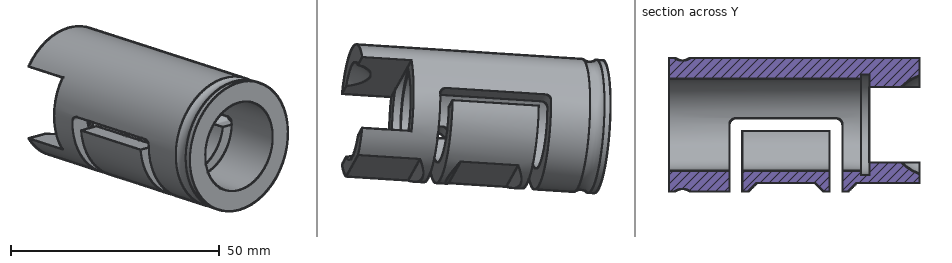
import cadquery as cq
import math

length = 60.0
outer_radius = 16.0
bore_radius = 11.0
counterbore_radius = 12.0
counterbore_end = 14.0

fork_length = 12.0
fork_half_gap = 9.0

hollow_mouth_radius = 11.75
hollow_depth = 4.4

window_start = 18.5
window_end = 45.5
slot_width = 3.0
slot_top = 1.5
web_length = 13.0

flat_z = -14.0
lip_flat_end = 15.1
saddle_flat_length = 14.0

groove_start = 55.0
groove_end = 58.5
groove_depth = 0.6

window_middle = (window_start + window_end) / 2
slot_bottom = slot_top - slot_width
slot_round_radius = slot_width / 2

margin = 1.0


def box(x_start, x_end, y_half, z_low, z_high):
    """Box between the given limits, symmetric about Y = 0."""
    size = (x_end - x_start, 2 * y_half, z_high - z_low)
    return cq.Workplane("XY").box(*size, centered=(False, True, False)).translate((x_start, 0, z_low))


def rod(radius, x_start, x_end):
    """Cylinder on the X axis, turned so that its seam line lies at the bottom."""
    cylinder = cq.Workplane("YZ", origin=(x_start, 0, 0)).circle(radius).extrude(x_end - x_start)
    return cylinder.rotate((0, 0, 0), (1, 0, 0), -90)


def lip_hollow():
    """Ball on the X axis that gives the hollow its mouth radius and its depth on the lip faces."""
    half_chord_squared = hollow_mouth_radius**2 - fork_half_gap**2
    center_x = (hollow_depth**2 - half_chord_squared) / (2 * hollow_depth)
    ball = cq.Workplane("XY").sphere(math.hypot(hollow_mouth_radius, center_x))
    return ball.translate((center_x, 0, 0))


def fork_end():
    """Two solid lips above and below the gap, hollowed at the mouth."""
    gap = box(-margin, fork_length, outer_radius + margin, -fork_half_gap, fork_half_gap)
    return rod(outer_radius, 0, fork_length).cut(gap).cut(lip_hollow())


def sleeve():
    """Tube with a wider bore just behind the fork."""
    tube = rod(outer_radius, fork_length, length).cut(rod(bore_radius, fork_length, length))
    return tube.cut(rod(counterbore_radius, fork_length, counterbore_end))


def saddle_slots():
    """Window through both side walls, less the saddle and the web that carries it on the +Y side."""
    depth = outer_radius + margin
    window = box(window_start, window_end, depth, -depth, slot_top)
    window = window.edges("|Y and >Z").fillet(slot_round_radius)
    saddle = box(window_start + slot_width, window_end - slot_width, depth, -depth, slot_bottom)
    return window.cut(saddle).cut(web())


def web():
    """Bridge across the slot on the +Y side, its ends hollowed by the round slot ends."""
    half_length = web_length / 2 + slot_round_radius
    depth = outer_radius + margin
    bridge = cq.Workplane("XY").box(2 * half_length, depth, slot_width, centered=(True, False, True))
    slot_ends = (
        cq.Workplane("XZ")
        .pushPoints([(-half_length, 0), (half_length, 0)])
        .circle(slot_round_radius)
        .extrude(-depth)
    )
    return bridge.cut(slot_ends).translate((window_middle, 0, slot_top - slot_round_radius))


def bottom_flat(x_start, x_end):
    """Cutter below the flat, widening downward at 45 degrees from each end."""
    drop = flat_z + outer_radius + margin
    profile = [
        (x_start, flat_z),
        (x_end, flat_z),
        (x_end + drop, flat_z - drop),
        (x_start - drop, flat_z - drop),
    ]
    return cq.Workplane("XZ").polyline(profile).close().extrude(outer_radius, both=True)


def rear_groove():
    """Ring with an arc-shaped section."""
    section = (
        cq.Workplane("XY")
        .moveTo(groove_start, outer_radius + margin)
        .lineTo(groove_start, outer_radius)
        .threePointArc(
            ((groove_start + groove_end) / 2, outer_radius - groove_depth),
            (groove_end, outer_radius),
        )
        .lineTo(groove_end, outer_radius + margin)
        .close()
    )
    return section.revolve(360, (0, 0, 0), (1, 0, 0))


result = sleeve().union(fork_end())
result = result.cut(saddle_slots())
result = result.cut(bottom_flat(-margin, lip_flat_end))
result = result.cut(
    bottom_flat(window_middle - saddle_flat_length / 2, window_middle + saddle_flat_length / 2)
)
result = result.cut(rear_groove())